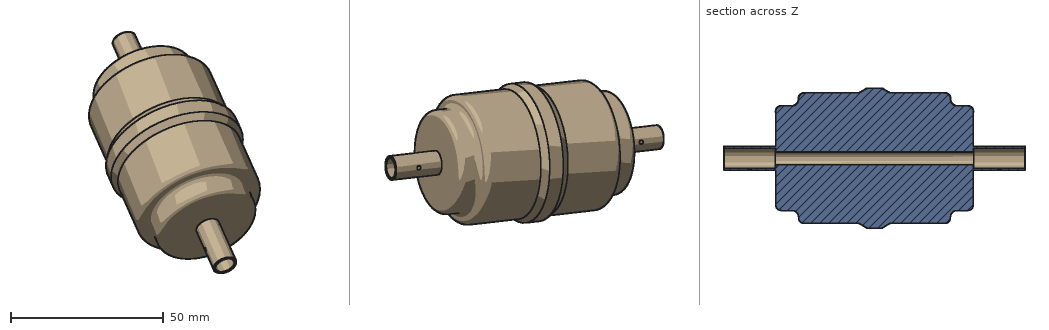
import cadquery as cq

total_length = 99.0
body_length = 65.0
shoulder_length = 50.0
band_length = 5.0
band_base_length = 10.0

neck_diameter = 34.5
shell_diameter = 43.0
band_diameter = 46.0
body_fillet = 2.0

tube_diameter = 8.0
tube_bore_diameter = 6.5
tube_edge_chamfer = 0.25
through_bore_diameter = 4.1
tube_length = (total_length - body_length) / 2
tube_bore_depth = tube_length

dimple_radius = 0.7
dimple_centre_height = 0.2
dimple_offset = body_length / 2 + tube_length / 2


def cylinder_along_x(diameter, length, start):
    """Solid cylinder on the X axis, running from start towards +X."""
    return cq.Workplane("YZ", origin=(start, 0, 0)).circle(diameter / 2).extrude(length)


def centred_cylinder(diameter, length):
    """Solid cylinder on the X axis, centred on the origin."""
    return cylinder_along_x(diameter, length, -length / 2)


def make_body():
    """Stepped canister with rounded steps at both ends."""
    neck = centred_cylinder(neck_diameter, body_length)
    shell = centred_cylinder(shell_diameter, shoulder_length)
    stepped = neck.union(shell)
    return stepped.edges("%CIRCLE").fillet(body_fillet)


def make_band():
    """Raised centre band with conical flanks."""
    outline = [
        (-band_base_length / 2, 0),
        (-band_base_length / 2, shell_diameter / 2),
        (-band_length / 2, band_diameter / 2),
        (band_length / 2, band_diameter / 2),
        (band_base_length / 2, shell_diameter / 2),
        (band_base_length / 2, 0),
    ]
    return cq.Workplane("XY").polyline(outline).close().revolve(360, (0, 0, 0), (1, 0, 0))


def make_rod():
    """Solid rod through the whole part; its ends form the outside of the tubes."""
    return centred_cylinder(tube_diameter, total_length)


def cut_bores(part):
    """Narrow bore right through, widened inside each tube."""
    part = part.cut(centred_cylinder(through_bore_diameter, total_length))
    for start in (-total_length / 2, total_length / 2 - tube_bore_depth):
        part = part.cut(cylinder_along_x(tube_bore_diameter, tube_bore_depth, start))
    return part


def chamfer_tube_ends(part):
    """Chamfer the outer and inner rim of both tube ends."""
    return part.faces("<X or >X").edges().chamfer(tube_edge_chamfer)


def cut_dimples(part):
    """Shallow spherical dimple in the -Y side of each tube."""
    centre_y = -tube_diameter / 2 - dimple_centre_height
    for x in (-dimple_offset, dimple_offset):
        dimple = cq.Workplane("YZ", origin=(x, centre_y, 0)).sphere(dimple_radius)
        part = part.cut(dimple)
    return part


result = make_body().union(make_band()).union(make_rod())
result = cut_bores(result)
result = chamfer_tube_ends(result)
result = cut_dimples(result)